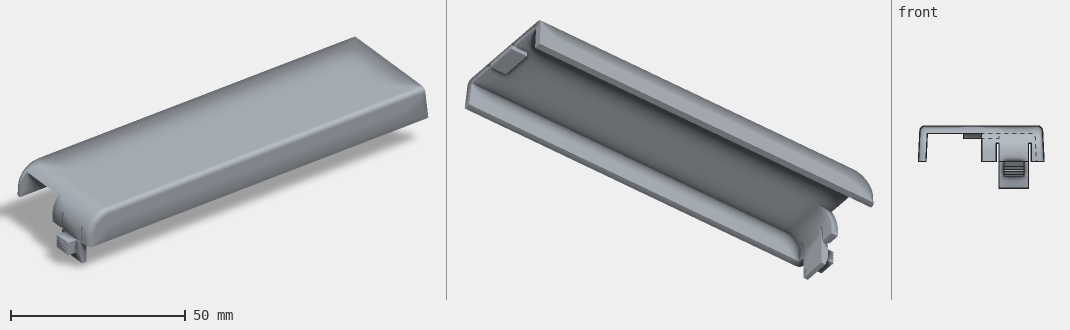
import cadquery as cq

overall_length = 123.3
half_width_bottom = 18.0
half_width_top = 17.5
height = 10.2
back_y_bottom = 119.7
back_y_top = 118.8
wall = 2.2
nose_radius = 7.4
edge_radius = 1.6
margin = 1.2

opening_right = 0.1

tongue_left = 5.0
tongue_right = 13.5
tongue_bottom = -7.6
tongue_tip_front = 0.7
pad_thickness = 0.2
slot_width = 0.7
slot_top = 5.2

grip_left = 6.5
grip_right = 12.2
grip_front = -3.2
grip_height = 4.2
groove_count = 4
groove_width = grip_height / (2 * groove_count + 1)
groove_depth = 0.1

tab_half_width = 5.0
tab_thickness = 1.5
tab_inner_y = 114.6
tab_back_y = grip_front + overall_length

lean = (half_width_bottom - half_width_top) / height


def box(x_range, y_range, z_range):
    """Box given by its limits along each axis."""
    (x0, x1), (y0, y1), (z0, z1) = x_range, y_range, z_range
    return cq.Workplane("XY").box(x1 - x0, y1 - y0, z1 - z0, centered=False).translate((x0, y0, z0))


def extrude_side_profile(profile, x0, x1):
    """Extrude a YZ profile between two X positions."""
    return profile.extrude(x1 - x0).translate((x0, 0, 0))


def tapered_block(inset, bottom, back_bottom, back_top):
    """Round-nosed block with tapered sides, inset from the outer faces of the cover."""
    top = height - inset
    radius = nose_radius - inset
    profile = (
        cq.Workplane("YZ")
        .moveTo(inset, bottom)
        .lineTo(inset, top - radius)
        .radiusArc((nose_radius, top), radius)
        .lineTo(back_top, top)
        .lineTo(back_bottom, bottom)
        .close()
    )
    block = extrude_side_profile(profile, -half_width_bottom - margin, half_width_bottom + margin)
    low = half_width_bottom - inset - lean * bottom
    high = half_width_bottom - inset - lean * top
    section = (
        cq.Workplane("XZ")
        .polyline([(-low, bottom), (low, bottom), (high, top), (-high, top)])
        .close()
        .extrude(-(back_bottom + margin))
    )
    return block.intersect(section)


def make_cavity():
    """Space inside the cover, open at the bottom and the back."""
    return tapered_block(wall, -margin, back_y_bottom + margin, back_y_bottom + margin)


def make_shell():
    """Thin cover with rounded edges along both sides and around the nose."""
    outer = tapered_block(0, 0, back_y_bottom, back_y_top)
    side_faces = outer.faces("<X or >X")
    rounded = [
        edge for edge in side_faces.edges().vals()
        if edge.Center().z > margin and edge.Center().y < back_y_top - margin
    ]
    return outer.newObject(rounded).fillet(edge_radius).cut(make_cavity())


def make_front_opening():
    """Opening between the left wall and the front wall, up to the roof underside."""
    top = height - wall
    left_bottom = wall - half_width_bottom
    outline = [
        (left_bottom - lean * margin, -margin),
        (left_bottom + lean * top, top),
        (opening_right, top),
        (opening_right, -margin),
    ]
    return cq.Workplane("XZ", origin=(0, -margin, 0)).polyline(outline).close().extrude(-(nose_radius + margin))


def make_slot(left):
    """Slot beside the tongue that lets it flex."""
    return box((left, left + slot_width), (-margin, nose_radius), (-margin, slot_top))


def make_tongue():
    """Tongue below the front wall: a thin raised pad with a bevelled tip."""
    outline = [
        (0, margin),
        (0, 0),
        (-pad_thickness, 0),
        (-pad_thickness, -grip_height),
        (tongue_tip_front, tongue_bottom),
        (wall, tongue_bottom),
        (wall, margin),
    ]
    profile = cq.Workplane("YZ").polyline(outline).close()
    return extrude_side_profile(profile, tongue_left, tongue_right)


def make_grip():
    """Thumb grip with shallow horizontal grooves across its front."""
    grip = box((grip_left, grip_right), (grip_front, margin), (-grip_height, 0))
    for index in range(groove_count):
        low = -grip_height + (2 * index + 1) * groove_width
        groove = box(
            (grip_left, grip_right),
            (grip_front, grip_front + groove_depth),
            (low, low + groove_width),
        )
        grip = grip.cut(groove)
    return grip


def make_tab():
    """Flat tab fixed under the roof and reaching past its back edge."""
    top = height - wall
    return box((-tab_half_width, tab_half_width), (tab_inner_y, tab_back_y), (top - tab_thickness, top))


result = make_shell().cut(make_front_opening())
for slot_left in (tongue_left - slot_width, tongue_right):
    result = result.cut(make_slot(slot_left))
result = result.union(make_tongue()).union(make_grip()).union(make_tab())